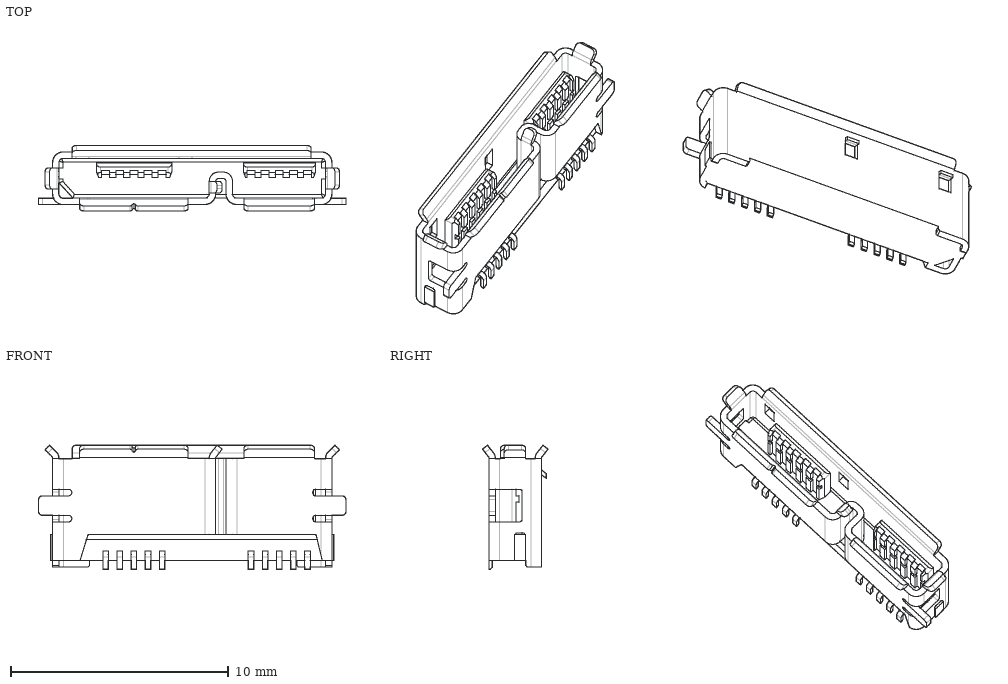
import cadquery as cq
import math


SHEET = 0.3
HALF_WIDTH = 6.43
HALF_DEPTH = 1.215
SHELL_TOP = 4.69
OUTER_RADIUS = 0.5
INNER_RADIUS = OUTER_RADIUS - SHEET
INNER_HALF_WIDTH = HALF_WIDTH - SHEET
INNER_HALF_DEPTH = HALF_DEPTH - SHEET
OVERRUN = 1.0

GROOVE_LEFT = 1.08
GROOVE_RIGHT = 1.55
GROOVE_FLOOR_Y = -0.02
GROOVE_INNER_RADIUS = 0.12
GROOVE_OUTER_RADIUS = GROOVE_INNER_RADIUS + SHEET

LOBE_DROP = 0.3
LOBE_FRONT_Y = 0.48
LOBE_LEFT_END = -4.72
LOBE_RIGHT_END = 4.81
LOBE_CHAMFER = 0.08

OPENING_BOTTOM = (-5.16, 5.98)
OPENING_TOP = (-4.79, 5.69)
OPENING_CORNER = 0.1

FLAP_TIP_TOP = 5.31
FLAP_ANGLE = 38.0
FLAP_REACH = 0.295
SIDE_FLAP_ANGLE = 45.0
SIDE_FLAP_REACH = 0.345
FLAP_CORNER_RADIUS = 0.2
FLAP_BEND_RADIUS = 0.35
BACK_FLAP = (-5.53, 5.47)
PIN_GROUP_CENTERS = (-2.685, 4.0)
FRONT_FLAP_WIDTHS = (5.0, 3.25)
SIDE_FLAP = (-0.507, 0.48)
GROOVE_FLAP = (-0.68, -0.145)
NOTCH_MOUTH = 0.18
NOTCH_THROAT = 0.08
NOTCH_THROAT_DEPTH = 0.1
NOTCH_DEPTH = 0.19

EAR_TIP_X = 7.075
EAR_CENTER_Z = 2.53
EAR_HEIGHT = 0.9
EAR_RADIUS = 0.18
EAR_SLOT = 0.3
EAR_SLOT_CENTER_X = 5.69
EAR_WINDOW_BACK_Y = 0.31
EAR_WINDOW_RADIUS = 0.12
EAR_WINDOW_HEIGHT = EAR_HEIGHT + 2 * EAR_SLOT

LATCH_SPACING = 4.74
LATCH_WIDTH = 0.6
LATCH_BOTTOM = 2.9
LATCH_TOP = 4.16
LOUVRE_REACH = 0.215
LOUVRE_TOP = 4.17
LOUVRE_TIP_TOP = 4.0
LOUVRE_TIP_BOTTOM = 3.78
LOUVRE_ROOT_BOTTOM = 3.93

BASE_HEIGHT = 1.21
BASE_CHAMFER_HEIGHT = 0.23
BASE_CHAMFER_WIDTH = 0.175
BASE_CORNER = 0.12
KEY_CORNER_X = 0.64
KEY_CORNER_Y = 0.7
LUG_FRONT_Y = -0.03
LUG_BACK_Y = 0.48
LUG_TIP_X = 6.515
LUG_ROOT_X = 5.9
LUG_SLIT_TOP = 1.28
LUG_SLIT_CORNER = 0.1

PIN_COUNT = 5
PIN_PITCH = 0.65
TONGUE_SPANS = ((-4.41, -0.935), (2.35, 5.68))
TONGUE_TOP = 4.0
TONGUE_FRONT_Y = 0.04
TONGUE_BACK_Y = 0.7
TONGUE_BACK_CHAMFER = 0.19
TONGUE_FRONT_CHAMFER = 0.22
TONGUE_END_RADIUS = 0.18
TONGUE_CORNER_X = 0.1
TONGUE_CORNER_Y = 0.27
CHANNEL_WIDTH = 0.36
CHANNEL_DEPTH = 0.14
CHANNEL_CHAMFER = 0.18
RIB_GAP = (2.69, 2.98)

PIN_WIDTH = 0.26
PIN_THICKNESS = 0.16
PIN_TOP = 0.44
PIN_BOTTOM = -0.4
PIN_BEND_RADIUS = 0.27
PIN_TIP_CHAMFER = 0.09


def box(x_range, y_range, z_range):
    """Box spanning the given coordinate ranges."""
    size = [high - low for low, high in (x_range, y_range, z_range)]
    start = (x_range[0], y_range[0], z_range[0])
    return cq.Workplane("XY").box(*size, centered=False).translate(start)


def extrude_along_x(points, x_range):
    """Prism with a (y, z) outline."""
    plane = cq.Workplane("YZ", origin=(x_range[0], 0, 0))
    return plane.polyline(points).close().extrude(x_range[1] - x_range[0])


def extrude_along_y(points, y_range):
    """Prism with an (x, z) outline."""
    plane = cq.Workplane("XZ", origin=(0, y_range[1], 0))
    return plane.polyline(points).close().extrude(y_range[1] - y_range[0])


def rounded_prism(corners, bottom, top):
    """Upright prism through right-angled corners (x, y, radius), each rounded by an arc."""
    tangents = []
    for i, (x, y, radius) in enumerate(corners):
        here = cq.Vector(x, y)
        before = (cq.Vector(*corners[i - 1][:2]) - here).normalized() * radius
        after = (cq.Vector(*corners[(i + 1) % len(corners)][:2]) - here).normalized() * radius
        middle = here + (before + after) * (1 - math.sqrt(0.5))
        tangents.append((here + before, middle, here + after))
    outline = cq.Workplane("XY", origin=(0, 0, bottom)).moveTo(*tangents[0][2].toTuple()[:2])
    for start, middle, end in tangents[1:] + tangents[:1]:
        outline = outline.lineTo(start.x, start.y)
        outline = outline.threePointArc((middle.x, middle.y), (end.x, end.y))
    return outline.close().extrude(top - bottom)


def shell_tube():
    """Constant-thickness wall around the opening, with the groove folded inward."""
    outer = [
        (-HALF_WIDTH, -HALF_DEPTH, OUTER_RADIUS),
        (GROOVE_LEFT, -HALF_DEPTH, OUTER_RADIUS),
        (GROOVE_LEFT, GROOVE_FLOOR_Y, GROOVE_INNER_RADIUS),
        (GROOVE_RIGHT, GROOVE_FLOOR_Y, GROOVE_INNER_RADIUS),
        (GROOVE_RIGHT, -HALF_DEPTH, OUTER_RADIUS),
        (HALF_WIDTH, -HALF_DEPTH, OUTER_RADIUS),
        (HALF_WIDTH, HALF_DEPTH, OUTER_RADIUS),
        (-HALF_WIDTH, HALF_DEPTH, OUTER_RADIUS),
    ]
    inner = [
        (-INNER_HALF_WIDTH, -INNER_HALF_DEPTH, INNER_RADIUS),
        (GROOVE_LEFT - SHEET, -INNER_HALF_DEPTH, INNER_RADIUS),
        (GROOVE_LEFT - SHEET, GROOVE_FLOOR_Y + SHEET, GROOVE_OUTER_RADIUS),
        (GROOVE_RIGHT + SHEET, GROOVE_FLOOR_Y + SHEET, GROOVE_OUTER_RADIUS),
        (GROOVE_RIGHT + SHEET, -INNER_HALF_DEPTH, INNER_RADIUS),
        (INNER_HALF_WIDTH, -INNER_HALF_DEPTH, INNER_RADIUS),
        (INNER_HALF_WIDTH, INNER_HALF_DEPTH, INNER_RADIUS),
        (-INNER_HALF_WIDTH, INNER_HALF_DEPTH, INNER_RADIUS),
    ]
    wall = rounded_prism(outer, -LOBE_DROP, SHELL_TOP)
    return wall.cut(rounded_prism(inner, -LOBE_DROP, SHELL_TOP))


def trim_lower_edge(shell):
    """Leave the drop below z = 0 only on the two back corner lobes and clear the front opening."""
    below = (-LOBE_DROP - OVERRUN, 0)
    width = (-HALF_WIDTH - OVERRUN, HALF_WIDTH + OVERRUN)
    front = box(width, (-HALF_DEPTH - OVERRUN, LOBE_FRONT_Y), below)
    lobe_gap = [
        (LOBE_LEFT_END, 0),
        (LOBE_LEFT_END, LOBE_CHAMFER - LOBE_DROP),
        (LOBE_LEFT_END - LOBE_CHAMFER, -LOBE_DROP),
        (LOBE_RIGHT_END + LOBE_CHAMFER, -LOBE_DROP),
        (LOBE_RIGHT_END, LOBE_CHAMFER - LOBE_DROP),
        (LOBE_RIGHT_END, 0),
    ]
    back = extrude_along_y(lobe_gap, (LOBE_FRONT_Y, HALF_DEPTH + OVERRUN))
    lobe_corner = [
        (LOBE_FRONT_Y, LOBE_CHAMFER - LOBE_DROP),
        (LOBE_FRONT_Y, -LOBE_DROP),
        (LOBE_FRONT_Y + LOBE_CHAMFER, -LOBE_DROP),
    ]
    corners = extrude_along_x(lobe_corner, width)

    opening = extrude_along_y(
        [
            (OPENING_BOTTOM[0], 0),
            (OPENING_TOP[0], BASE_HEIGHT),
            (OPENING_TOP[1], BASE_HEIGHT),
            (OPENING_BOTTOM[1], 0),
        ],
        (-HALF_DEPTH - OVERRUN, -INNER_HALF_DEPTH),
    )
    opening = opening.edges("|Y and >Z").fillet(OPENING_CORNER)
    groove_foot = box(
        (GROOVE_LEFT - OUTER_RADIUS, GROOVE_RIGHT + OUTER_RADIUS),
        (-HALF_DEPTH - OVERRUN, GROOVE_FLOOR_Y + SHEET),
        (0, BASE_HEIGHT),
    )
    return shell.cut(front).cut(back).cut(corners).cut(opening).cut(groove_foot)


def cut_lug_slits(shell):
    """Slits in both side walls that let the insulator lugs through."""
    for side in (-1, 1):
        x_range = sorted((side * LUG_ROOT_X, side * (HALF_WIDTH + OVERRUN)))
        slit = box(x_range, (LUG_FRONT_Y, LUG_BACK_Y), (-LOBE_DROP, LUG_SLIT_TOP))
        shell = shell.cut(slit.edges("|X and >Z").chamfer(LUG_SLIT_CORNER))
    return shell


def add_ears(shell):
    """Side windows with a slot above and below each ear, and the ears themselves."""
    half_window = EAR_WINDOW_HEIGHT / 2
    half_ear = EAR_HEIGHT / 2
    slot_offset = (EAR_HEIGHT + EAR_SLOT) / 2
    for side in (-1, 1):
        x_out = sorted((side * EAR_SLOT_CENTER_X, side * (HALF_WIDTH + OVERRUN)))
        window = box(
            x_out,
            (-HALF_DEPTH - OVERRUN, EAR_WINDOW_BACK_Y),
            (EAR_CENTER_Z - half_window, EAR_CENTER_Z + half_window),
        )
        shell = shell.cut(window.edges("|X and >Y").fillet(EAR_WINDOW_RADIUS))
        slot_ends = (
            cq.Workplane("XZ", origin=(side * EAR_SLOT_CENTER_X, -INNER_HALF_DEPTH, EAR_CENTER_Z))
            .pushPoints([(0, -slot_offset), (0, slot_offset)])
            .circle(EAR_SLOT / 2)
            .extrude(OVERRUN)
        )
        ear = box(
            sorted((side * EAR_SLOT_CENTER_X, side * EAR_TIP_X)),
            (-HALF_DEPTH, -INNER_HALF_DEPTH),
            (EAR_CENTER_Z - half_ear, EAR_CENTER_Z + half_ear),
        )
        tip = ">X" if side > 0 else "<X"
        ear = ear.edges("|Y").edges(tip).fillet(EAR_RADIUS)
        shell = shell.cut(slot_ends).union(ear)
    return shell


def flap(span, reach, angle):
    """Flap along x, leaning toward -y from a wall whose outer face is y = 0."""
    lean = math.radians(angle)
    tip_y = -reach
    tip_low = FLAP_TIP_TOP - SHEET * math.sin(lean)
    crest_y = tip_y + SHEET * math.cos(lean)
    outer_root_z = tip_low - reach / math.tan(lean)
    inner_root_z = FLAP_TIP_TOP - (SHEET - crest_y) / math.tan(lean)
    profile = [
        (0, SHELL_TOP),
        (0, outer_root_z),
        (tip_y, tip_low),
        (crest_y, FLAP_TIP_TOP),
        (SHEET, inner_root_z),
        (SHEET, SHELL_TOP),
    ]
    blank = extrude_along_x(profile, span)
    tip_corners = cq.selectors.ParallelDirSelector(cq.Vector(0, math.cos(lean), math.sin(lean)))
    blank = blank.edges(tip_corners).fillet(FLAP_CORNER_RADIUS)
    inside_bend = cq.selectors.NearestToPointSelector((sum(span) / 2, SHEET, inner_root_z))
    return blank.edges(inside_bend).fillet(FLAP_BEND_RADIUS)


def flap_notch():
    """Cutter for the V notch with a rounded mouth, square to the wide front flap."""
    bow = math.sqrt(0.5)
    bow_x = NOTCH_MOUTH + (NOTCH_THROAT - NOTCH_MOUTH) * bow
    bow_z = -NOTCH_THROAT_DEPTH * (1 - bow)
    cutter = (
        cq.Workplane("XZ")
        .moveTo(-NOTCH_MOUTH, 0)
        .threePointArc((-bow_x, bow_z), (-NOTCH_THROAT, -NOTCH_THROAT_DEPTH))
        .lineTo(0, -NOTCH_DEPTH)
        .lineTo(NOTCH_THROAT, -NOTCH_THROAT_DEPTH)
        .threePointArc((bow_x, bow_z), (NOTCH_MOUTH, 0))
        .close()
        .extrude(OVERRUN / 2, both=True)
    )
    crest_y = SHEET * math.cos(math.radians(FLAP_ANGLE)) - FLAP_REACH - HALF_DEPTH
    cutter = cutter.rotate((0, 0, 0), (1, 0, 0), FLAP_ANGLE)
    return cutter.translate((PIN_GROUP_CENTERS[0], crest_y, FLAP_TIP_TOP))


def add_flaps(shell):
    """Lead-in flaps on the front, back and side walls and on the left leg of the groove."""
    for center, width in zip(PIN_GROUP_CENTERS, FRONT_FLAP_WIDTHS):
        front = flap((center - width / 2, center + width / 2), FLAP_REACH, FLAP_ANGLE)
        shell = shell.union(front.translate((0, -HALF_DEPTH, 0)))

    shell = shell.cut(flap_notch())

    def turned_flap(span, reach, angle, turn):
        return flap(span, reach, angle).rotate((0, 0, 0), (0, 0, 1), turn)

    back = turned_flap((-BACK_FLAP[1], -BACK_FLAP[0]), FLAP_REACH, FLAP_ANGLE, 180)
    right = turned_flap(SIDE_FLAP, SIDE_FLAP_REACH, SIDE_FLAP_ANGLE, 90)
    left = turned_flap((-SIDE_FLAP[1], -SIDE_FLAP[0]), SIDE_FLAP_REACH, SIDE_FLAP_ANGLE, -90)
    groove = turned_flap(GROOVE_FLAP, FLAP_REACH, FLAP_ANGLE, 90)
    shell = shell.union(back.translate((0, HALF_DEPTH, 0)))
    shell = shell.union(right.translate((HALF_WIDTH, 0, 0)))
    shell = shell.union(left.translate((-HALF_WIDTH, 0, 0)))
    return shell.union(groove.translate((GROOVE_LEFT, 0, 0)))


def add_latch_windows(shell):
    """Two back-wall windows for the plug latches, each with its louvre."""
    for side in (-1, 1):
        center = PIN_GROUP_CENTERS[0] + side * LATCH_SPACING / 2
        x_range = (center - LATCH_WIDTH / 2, center + LATCH_WIDTH / 2)
        window = box(x_range, (0, HALF_DEPTH + OVERRUN), (LATCH_BOTTOM, LATCH_TOP))
        louvre = extrude_along_x(
            [
                (INNER_HALF_DEPTH, LATCH_TOP),
                (INNER_HALF_DEPTH, LOUVRE_TOP),
                (HALF_DEPTH, LOUVRE_TOP),
                (HALF_DEPTH + LOUVRE_REACH, LOUVRE_TIP_TOP),
                (HALF_DEPTH + LOUVRE_REACH, LOUVRE_TIP_BOTTOM),
                (HALF_DEPTH, LOUVRE_ROOT_BOTTOM),
            ],
            x_range,
        )
        shell = shell.cut(window).union(louvre)
    return shell


def insulator_base():
    """Chamfered block filling the bottom of the shell, with a keyed corner and side lugs."""
    x, y, c = INNER_HALF_WIDTH, INNER_HALF_DEPTH, BASE_CORNER
    outline = [
        (KEY_CORNER_X - x, -y),
        (x - c, -y),
        (x, c - y),
        (x, y - c),
        (x - c, y),
        (c - x, y),
        (-x, y - c),
        (-x, KEY_CORNER_Y - y),
    ]
    base = cq.Workplane("XY").polyline(outline).close().extrude(BASE_HEIGHT)
    top_face = base.faces(">Z").val()
    solid = base.val().chamfer(BASE_CHAMFER_HEIGHT, BASE_CHAMFER_WIDTH, top_face.Edges())
    base = cq.Workplane(solid)
    for side in (-1, 1):
        x_range = sorted((side * LUG_ROOT_X, side * LUG_TIP_X))
        base = base.union(box(x_range, (LUG_FRONT_Y, LUG_BACK_Y), (0, BASE_HEIGHT)))
    return base


def pin_positions(center):
    """X positions of one row of pins."""
    return [center + (i - (PIN_COUNT - 1) / 2) * PIN_PITCH for i in range(PIN_COUNT)]


def tongue(span, contact_xs):
    """Contact tongue with bevelled edges, a channel at each contact and a gap across the ribs."""
    left, right = span
    outline = [
        (left, TONGUE_BACK_Y),
        (left, TONGUE_FRONT_Y + TONGUE_CORNER_Y),
        (left + TONGUE_CORNER_X, TONGUE_FRONT_Y),
        (right - TONGUE_CORNER_X, TONGUE_FRONT_Y),
        (right, TONGUE_FRONT_Y + TONGUE_CORNER_Y),
        (right, TONGUE_BACK_Y),
    ]
    body = cq.Workplane("XY").polyline(outline).close().extrude(TONGUE_TOP)
    rounded_ends = box(span, (TONGUE_FRONT_Y, TONGUE_BACK_Y), (0, TONGUE_TOP))
    rounded_ends = rounded_ends.faces(">Z").edges("|Y").fillet(TONGUE_END_RADIUS)
    bevelled = extrude_along_x(
        [
            (TONGUE_FRONT_Y, 0),
            (TONGUE_FRONT_Y, TONGUE_TOP - TONGUE_FRONT_CHAMFER),
            (TONGUE_FRONT_Y + TONGUE_FRONT_CHAMFER, TONGUE_TOP),
            (TONGUE_BACK_Y - TONGUE_BACK_CHAMFER, TONGUE_TOP),
            (TONGUE_BACK_Y, TONGUE_TOP - TONGUE_BACK_CHAMFER),
            (TONGUE_BACK_Y, 0),
        ],
        span,
    )
    body = body.intersect(rounded_ends).intersect(bevelled)

    front_y = TONGUE_FRONT_Y - OVERRUN
    channel_y = TONGUE_FRONT_Y + CHANNEL_DEPTH
    channel = [
        (front_y, BASE_HEIGHT),
        (channel_y, BASE_HEIGHT),
        (channel_y, TONGUE_TOP - CHANNEL_CHAMFER),
        (channel_y + CHANNEL_CHAMFER, TONGUE_TOP),
        (front_y, TONGUE_TOP),
    ]
    for x in contact_xs:
        body = body.cut(extrude_along_x(channel, (x - CHANNEL_WIDTH / 2, x + CHANNEL_WIDTH / 2)))
    return body.cut(box(span, (front_y, channel_y), RIB_GAP))


def solder_pin(x):
    """Pin leaving the insulator horizontally and bending down flush with the front wall."""
    profile = [
        (-INNER_HALF_DEPTH + PIN_THICKNESS, PIN_TOP),
        (-HALF_DEPTH, PIN_TOP),
        (-HALF_DEPTH, PIN_BOTTOM),
        (-HALF_DEPTH + PIN_THICKNESS - PIN_TIP_CHAMFER, PIN_BOTTOM),
        (-HALF_DEPTH + PIN_THICKNESS, PIN_BOTTOM + PIN_TIP_CHAMFER),
        (-HALF_DEPTH + PIN_THICKNESS, PIN_TOP - PIN_THICKNESS),
        (-INNER_HALF_DEPTH + PIN_THICKNESS, PIN_TOP - PIN_THICKNESS),
    ]
    pin = extrude_along_x(profile, (x - PIN_WIDTH / 2, x + PIN_WIDTH / 2))
    return pin.edges("|X and >Z and <Y").fillet(PIN_BEND_RADIUS)


shell = trim_lower_edge(shell_tube())
shell = cut_lug_slits(shell)
shell = add_ears(shell)
shell = add_flaps(shell)
shell = add_latch_windows(shell)

insulator = insulator_base()
for group_center, tongue_span in zip(PIN_GROUP_CENTERS, TONGUE_SPANS):
    contact_xs = pin_positions(group_center)
    insulator = insulator.union(tongue(tongue_span, contact_xs))
    for contact_x in contact_xs:
        insulator = insulator.union(solder_pin(contact_x))

result = shell.union(insulator)